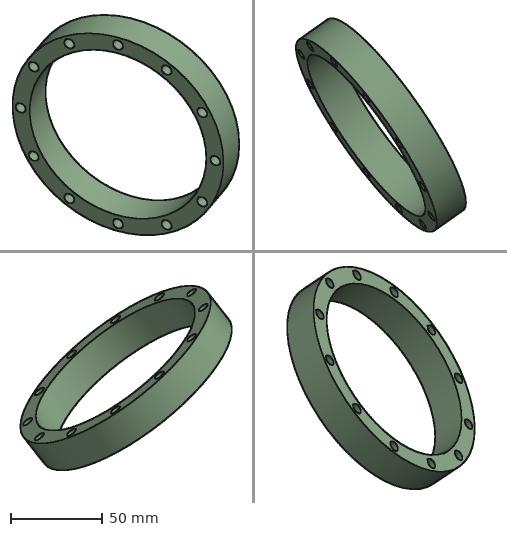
import cadquery as cq

outer_diameter = 128.0
bore_diameter = 107.0
ring_width = 20.0

hole_count = 12
hole_diameter = 6.0
hole_circle_diameter = 118.0

ring = (
    cq.Workplane("XZ")
    .circle(outer_diameter / 2)
    .circle(bore_diameter / 2)
    .extrude(ring_width)
)

holes = (
    cq.Workplane("XZ")
    .polarArray(hole_circle_diameter / 2, 0, 360, hole_count)
    .circle(hole_diameter / 2)
    .extrude(ring_width)
)

result = ring.cut(holes)